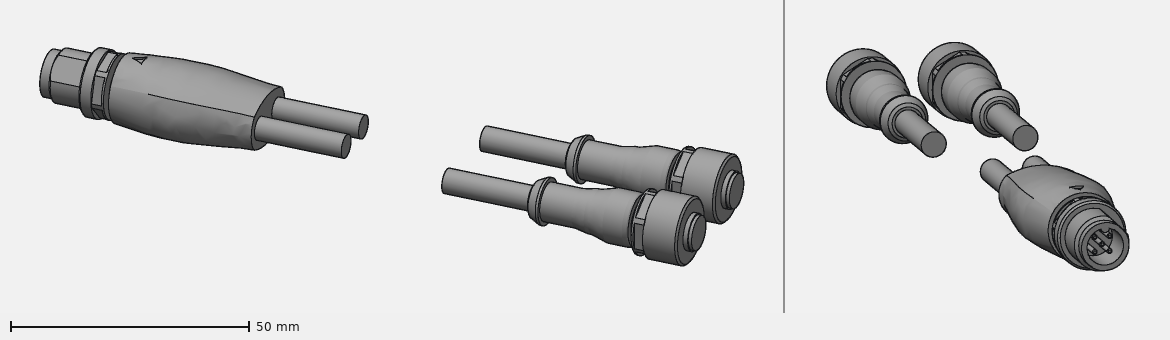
import cadquery as cq
import math


NUT_RADIUS = 7.5
NUT_CHAMFER = 0.5
HEX_ACROSS_FLATS = 13.0
HEX_CORNER_RADIUS = 7.2
HEX_HALF_ANGLE = 30
FLANGE_THICKNESS = 0.5
NECK_RADIUS = 4.1

TIP_RADIUS = 5.2
TIP_END = 2.1
THREAD_START = 2.7
THREAD_RADIUS = 6.0
THREAD_FLAT_DISTANCE = TIP_RADIUS
THREAD_FLAT_TURN = 45
PLUG_NUT_START = 9.8
PLUG_NUT_END = 12.7
PLUG_HEX_END = 15.4
PLUG_HEX_TURN = 17
BORE_RADIUS = 4.0
BORE_DEPTH = 8.4
KEY_RADIUS = 0.9
PIN_RADIUS = 0.53
PIN_CHAMFER = 0.23
PIN_LENGTH = 6.3
PIN_CIRCLE_RADIUS = 2.3
PIN_ANGLES = (45, 135, 225, 315)

SPLITTER_START = 16.8
SPLITTER_END = 50.0
SPLITTER_SECTIONS = [
    (SPLITTER_START, 7.6, 7.6, 6.5, 3.8),
    (23.7, 9.2, 8.0, 7.8, 4.6),
    (30.5, 10.2, 7.8, 8.5, 4.9),
    (39.7, 9.8, 7.0, 8.1, 4.6),
    (SPLITTER_END, 8.9, 5.6, 7.2, 4.0),
]
ARROW_TIP = 19.0
ARROW_LENGTH = 2.7
ARROW_WIDTH = 3.0
ARROW_FLOOR = 7.3
ARROW_CUT_HEIGHT = 1.5

STUB_RADIUS = 2.6
STUB_SPACING = 9.2
STUB_END = 69.8

SOCKET_SPACING = 20.0
SOCKET_CABLE_START = 95.1
SOCKET_CABLE_RADIUS = 2.7
BOOT_START = 115.0
BOOT_START_RADIUS = 3.4
BOOT_BREAK = 115.5
BOOT_BREAK_RADIUS = 4.1
BOOT_RIM_RADIUS = 5.2
BOOT_RIM_START = 117.6
BOOT_RIM_END = 118.2
GRIP_RADIUS = 4.3
GRIP_END = 125.5
BAND_START = 128.5
BAND_END = 129.5
BAND_RADIUS = 4.9
SHOULDER_START = 133.3
SHOULDER_END = 139.0
SHOULDER_RADIUS = 6.0
SHOULDER_TAPER_START = 137.7
SHOULDER_TAPER_BREAK = 138.7
SHOULDER_TAPER_STEP = 0.2
SOCKET_HEX_START = 140.3
SOCKET_NUT_START = 143.1
SOCKET_NUT_END = 150.9
INSERT_RADIUS = 4.1
INSERT_STEP = 152.0
INSERT_END_RADIUS = 3.8
TOTAL_LENGTH = 152.7


def turned(profile):
    """Solid of revolution about X from (x, radius) points; the ends close on the axis."""
    points = [(profile[0][0], 0)] + profile + [(profile[-1][0], 0)]
    return cq.Workplane("XY").polyline(points).close().revolve(360, (0, 0, 0), (1, 0, 0))


def rod(start, end, radius, y=0.0, z=0.0):
    """Round bar along X from start to end."""
    return cq.Workplane("YZ", origin=(start, y, z)).circle(radius).extrude(end - start)


def hex_collar(start, end, turn):
    """Hexagon along X with corners turned down to a cylinder; at turn 0 a flat faces -Y."""
    across_corners = HEX_ACROSS_FLATS / math.cos(math.radians(HEX_HALF_ANGLE))
    hexagon = (
        cq.Workplane("YZ", origin=(start, 0, 0))
        .transformed(rotate=(0, 0, HEX_HALF_ANGLE - turn))
        .polygon(6, across_corners)
        .extrude(end - start)
    )
    return hexagon.intersect(rod(start, end, HEX_CORNER_RADIUS))


def plug_barrel():
    """Tip, thread with its diagonal flat, and the ring of the coupling nut."""
    barrel = turned([
        (0, TIP_RADIUS),
        (TIP_END, TIP_RADIUS),
        (THREAD_START, THREAD_RADIUS),
        (PLUG_NUT_START, THREAD_RADIUS),
    ])
    flat_cutter = (
        cq.Workplane("XY")
        .box(PLUG_NUT_START, 2 * THREAD_RADIUS, THREAD_RADIUS, centered=(False, True, False))
        .translate((0, 0, THREAD_FLAT_DISTANCE))
        .rotate((0, 0, 0), (1, 0, 0), THREAD_FLAT_TURN)
    )
    ring = turned([
        (PLUG_NUT_START, NUT_RADIUS - NUT_CHAMFER),
        (PLUG_NUT_START + NUT_CHAMFER, NUT_RADIUS),
        (PLUG_NUT_END, NUT_RADIUS),
    ])
    return barrel.cut(flat_cutter).union(ring)


def plug_bore():
    """Cavity in the tip, less the half-round coding key on its +Z side."""
    key = rod(0, BORE_DEPTH, KEY_RADIUS, z=BORE_RADIUS)
    return rod(0, BORE_DEPTH, BORE_RADIUS).cut(key)


def contact_pins():
    """One pin on the axis and four on the diagonals around it, with chamfered tips."""
    tip = BORE_DEPTH - PIN_LENGTH
    pin = turned([
        (tip, PIN_RADIUS - PIN_CHAMFER),
        (tip + PIN_CHAMFER, PIN_RADIUS),
        (BORE_DEPTH, PIN_RADIUS),
    ])
    pins = pin
    for angle in PIN_ANGLES:
        y = PIN_CIRCLE_RADIUS * math.cos(math.radians(angle))
        z = PIN_CIRCLE_RADIUS * math.sin(math.radians(angle))
        pins = pins.union(pin.translate((0, y, z)))
    return pins


def splitter_housing():
    """Smooth loft through four-arc sections, with the arrow sunk in its top."""
    wires = []
    for x, half_width, half_height, corner_y, corner_z in SPLITTER_SECTIONS:
        section = (
            cq.Workplane("YZ", origin=(x, 0, 0))
            .moveTo(corner_y, corner_z)
            .threePointArc((0, half_height), (-corner_y, corner_z))
            .threePointArc((-half_width, 0), (-corner_y, -corner_z))
            .threePointArc((0, -half_height), (corner_y, -corner_z))
            .threePointArc((half_width, 0), (corner_y, corner_z))
            .close()
        )
        wires.append(section.val())
    housing = cq.Workplane(cq.Solid.makeLoft(wires))
    base = ARROW_TIP + ARROW_LENGTH
    arrow = (
        cq.Workplane("XY", origin=(0, 0, ARROW_FLOOR))
        .polyline([(ARROW_TIP, 0), (base, ARROW_WIDTH / 2), (base, -ARROW_WIDTH / 2)])
        .close()
        .extrude(ARROW_CUT_HEIGHT)
    )
    return housing.cut(arrow)


def make_splitter():
    """Plug, splitter housing and its two cable stubs as one body."""
    body = plug_barrel().union(hex_collar(PLUG_NUT_END, PLUG_HEX_END, PLUG_HEX_TURN))
    body = body.union(rod(PLUG_HEX_END - FLANGE_THICKNESS, PLUG_HEX_END, HEX_CORNER_RADIUS))
    body = body.union(rod(PLUG_HEX_END, SPLITTER_START, NECK_RADIUS))
    body = body.union(splitter_housing())
    for side in (-1, 1):
        body = body.union(rod(SPLITTER_END, STUB_END, STUB_RADIUS, side * STUB_SPACING / 2))
    return body.cut(plug_bore()).union(contact_pins())


def make_socket(y):
    """Cable, boot, coupling nut and insert of one socket as one body on the axis at y."""
    body = turned([
        (SOCKET_CABLE_START, SOCKET_CABLE_RADIUS),
        (BOOT_START, SOCKET_CABLE_RADIUS),
        (BOOT_START, BOOT_START_RADIUS),
        (BOOT_BREAK, BOOT_BREAK_RADIUS),
        (BOOT_RIM_START, BOOT_RIM_RADIUS),
        (BOOT_RIM_END, BOOT_RIM_RADIUS),
        (BOOT_RIM_END, GRIP_RADIUS),
        (GRIP_END, GRIP_RADIUS),
        (BAND_START, BAND_RADIUS),
        (BAND_END, BAND_RADIUS),
        (SHOULDER_START, SHOULDER_RADIUS),
        (SHOULDER_TAPER_START, SHOULDER_RADIUS),
        (SHOULDER_TAPER_BREAK, SHOULDER_RADIUS - SHOULDER_TAPER_STEP),
        (SHOULDER_END, SHOULDER_RADIUS - 2 * SHOULDER_TAPER_STEP),
        (SHOULDER_END, NECK_RADIUS),
        (SOCKET_NUT_START, NECK_RADIUS),
        (SOCKET_NUT_START, NUT_RADIUS),
        (SOCKET_NUT_END - NUT_CHAMFER, NUT_RADIUS),
        (SOCKET_NUT_END, NUT_RADIUS - NUT_CHAMFER),
        (SOCKET_NUT_END, INSERT_RADIUS),
        (INSERT_STEP, INSERT_RADIUS),
        (INSERT_STEP, INSERT_END_RADIUS),
        (TOTAL_LENGTH, INSERT_END_RADIUS),
    ])
    body = body.union(hex_collar(SOCKET_HEX_START, SOCKET_NUT_START, 0))
    body = body.union(rod(SOCKET_HEX_START, SOCKET_HEX_START + FLANGE_THICKNESS, HEX_CORNER_RADIUS))
    return body.translate((0, y, 0))


splitter = make_splitter()
sockets = [make_socket(side * SOCKET_SPACING / 2) for side in (-1, 1)]

result = cq.Compound.makeCompound([splitter.val(), *[socket.val() for socket in sockets]])